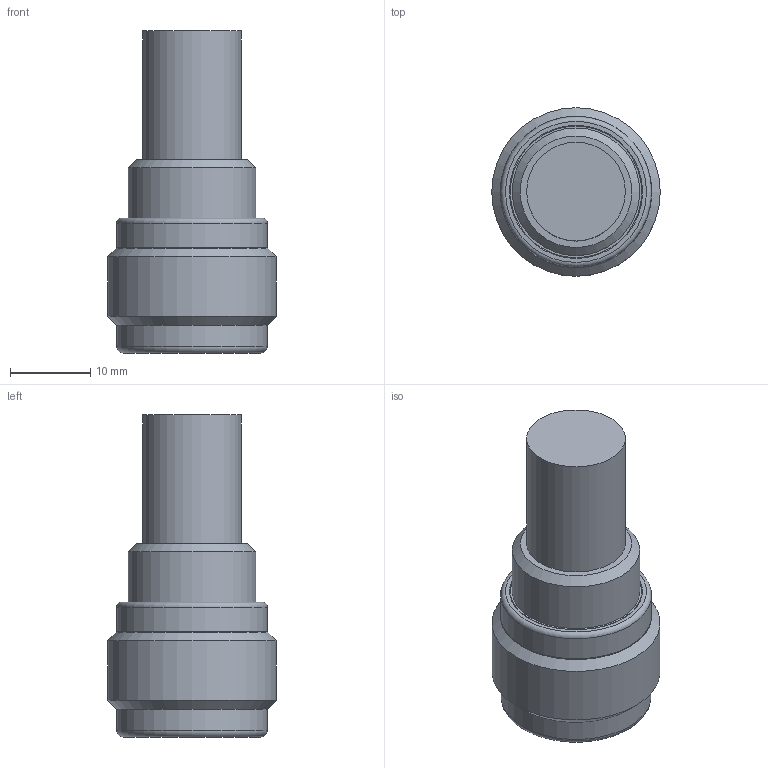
import cadquery as cq

total_height = 40.15
lower_chamfer_bottom = 3.45
upper_chamfer_top = 13.05
ledge_top = 13.13
collar_top = 16.8
sleeve_top = 24.1

base_radius = 9.37
body_radius = 10.5
collar_radius = 9.4
ledge_radius = 9.45
sleeve_radius = 7.95
shaft_radius = 6.15

lower_body_chamfer = body_radius - base_radius
upper_body_chamfer = body_radius - ledge_radius
sleeve_chamfer = 1.0
base_fillet = 0.82
collar_fillet = 0.61

recess_radius = 8.2
recess_mouth_radius = 8.3
recess_depth = 0.06


def cylinder(radius, bottom, top):
    """Cylinder on the Z axis between two heights."""
    return cq.Workplane("XY").workplane(offset=bottom).circle(radius).extrude(top - bottom)


def make_base():
    base = cylinder(base_radius, 0, lower_chamfer_bottom + lower_body_chamfer)
    return base.faces("<Z").edges().fillet(base_fillet)


def make_body():
    body = cylinder(body_radius, lower_chamfer_bottom, upper_chamfer_top)
    body = body.faces("<Z").edges().chamfer(lower_body_chamfer)
    return body.faces(">Z").edges().chamfer(upper_body_chamfer)


def make_ledge():
    """Low step between the body's upper chamfer and the collar."""
    return cylinder(ledge_radius, upper_chamfer_top, ledge_top)


def make_collar():
    """Rounded collar with a shallow flared recess in its top face."""
    collar = cylinder(collar_radius, upper_chamfer_top, collar_top)
    collar = collar.faces(">Z").edges().fillet(collar_fillet)
    recess = (
        cq.Workplane("XY")
        .workplane(offset=collar_top)
        .circle(recess_mouth_radius)
        .workplane(offset=-recess_depth)
        .circle(recess_radius)
        .loft(ruled=True)
    )
    return collar.cut(recess)


def make_sleeve():
    sleeve = cylinder(sleeve_radius, upper_chamfer_top, sleeve_top)
    return sleeve.faces(">Z").edges().chamfer(sleeve_chamfer)


def make_shaft():
    return cylinder(shaft_radius, upper_chamfer_top, total_height)


result = (
    make_base()
    .union(make_body())
    .union(make_ledge())
    .union(make_collar())
    .union(make_sleeve())
    .union(make_shaft())
)